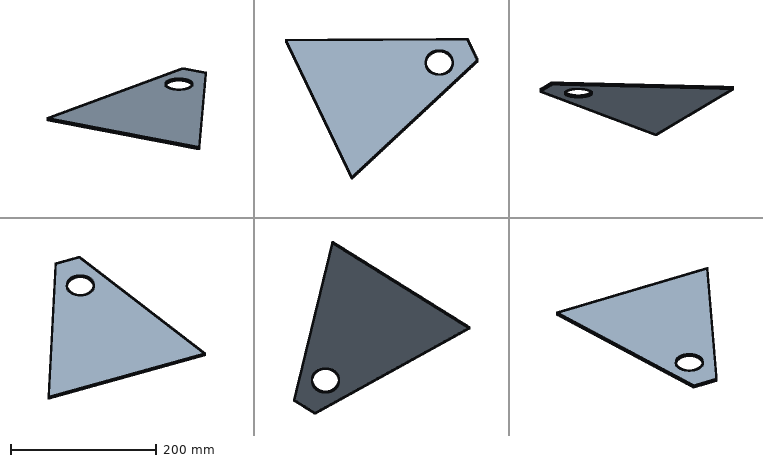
import cadquery as cq

base_width = 230.0
tip_width = 35.0
length = 230.2
thickness = 3.0

hole_diameter = 37.0
hole_to_tip = 50.0

plate = (
    cq.Workplane("XY")
    .polyline([
        (-base_width / 2, -length / 2),
        (base_width / 2, -length / 2),
        (tip_width / 2, length / 2),
        (-tip_width / 2, length / 2),
    ])
    .close()
    .extrude(thickness)
)

hole = (
    cq.Workplane("XY")
    .center(0, length / 2 - hole_to_tip)
    .circle(hole_diameter / 2)
    .extrude(thickness)
)

result = plate.cut(hole)